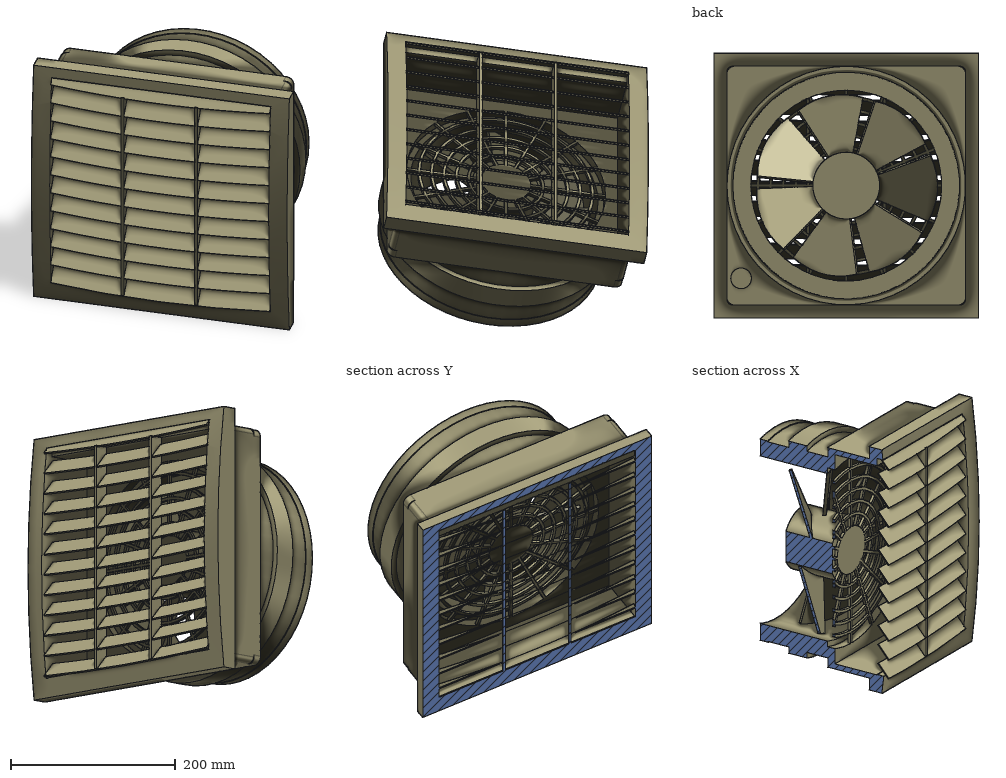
import cadquery as cq
import math


FRAME_EDGE_Y = 10.5
FRAME_BACK_Y = 29.5
GUARD_FRONT_Y = 79.2
GUARD_BACK_Y = 90.5
RING_FRONT_Y = 120.5
RING_BACK_Y = 147.5
LIP_FRONT_Y = 177.7
BACK_Y = 189.0

FRAME_SIZE = 322.0
OPENING_WIDTH = 275.5
OPENING_TOP = 147.5
OPENING_BOTTOM = -137.2
OPENING_DEPTH = 17.7

HOUSING_SIZE = 290.5
HOUSING_CORNER = 7.5
GUARD_PLATE_CORNER = 10.0

COLLAR_DIAMETER = 275.5
COLLAR_NECK_DIAMETER = 273.7
RING_DIAMETER = 289.8
BORE_DIAMETER = 232.0

LOUVRE_COUNT = 12
LOUVRE_PITCH = OPENING_WIDTH / (LOUVRE_COUNT - 1)
LOUVRE_TILT = 48.0
LOUVRE_LENGTH = 23.2
LOUVRE_THICKNESS = 2.0
LOUVRE_SAGITTA = 5.8
TOP_LOUVRE_Z = 135.2
BAR_WIDTH = 3.5
BAR_X = 46.5
BAR_HEIGHT = 275.5

GUARD_OPENING_DIAMETER = 246.0
GUARD_THICKNESS = 4.0
GUARD_DISC_RADIUS = 30.5
GUARD_RING_COUNT = 5
OUTER_GUARD_RING_RADIUS = 107.2
GUARD_RING_PITCH = (OUTER_GUARD_RING_RADIUS - GUARD_DISC_RADIUS) / GUARD_RING_COUNT
SPOKE_OVERLAP = 1.5
GUARD_BAR_WIDTH = 3.5
SPOKE_COUNT = 16

HUB_DIAMETER = 81.0
HUB_BACK_Y = 151.5
BLADE_COUNT = 7
BLADE_TIP_RADIUS = 111.0
BLADE_SWEEP = 49.0
BLADE_TILT = 30.0
BLADE_THICKNESS = 4.2
BLADE_MID_Y = 122.5
FIRST_BLADE_ANGLE = 11.3

STUD_DIAMETER = 25.0
STUD_HEIGHT = 4.8
STUD_X = 127.8
STUD_Z = -112.7


def facing_back(y):
    """Plane at depth y with its normal along +Y and its local axes along X and -Z."""
    return cq.Workplane(cq.Plane((0, y, 0), (1, 0, 0), (0, 1, 0)))


def square_block(size, front, back):
    return facing_back(front).rect(size, size).extrude(back - front)


def disc(diameter, front, back):
    return facing_back(front).circle(diameter / 2).extrude(back - front)


def make_frame():
    half = FRAME_SIZE / 2
    plate = (
        cq.Workplane("YZ", origin=(-half, 0, 0))
        .moveTo(FRAME_BACK_Y, -half)
        .lineTo(FRAME_EDGE_Y, -half)
        .threePointArc((0, 0), (FRAME_EDGE_Y, half))
        .lineTo(FRAME_BACK_Y, half)
        .close()
        .extrude(FRAME_SIZE)
    )
    return plate.cut(opening_block())


def opening_block():
    height = OPENING_TOP - OPENING_BOTTOM
    block = cq.Workplane("XY").box(OPENING_WIDTH, OPENING_DEPTH, height)
    return block.translate((0, OPENING_DEPTH / 2, OPENING_BOTTOM + height / 2))


def make_housing():
    housing = square_block(HOUSING_SIZE, FRAME_BACK_Y, GUARD_FRONT_Y)
    guard_plate = square_block(HOUSING_SIZE, GUARD_FRONT_Y, GUARD_BACK_Y)
    guard_plate = guard_plate.edges("|Y").fillet(GUARD_PLATE_CORNER)
    return housing.edges("|Y").fillet(HOUSING_CORNER).union(guard_plate)


def make_collar():
    collar = disc(COLLAR_DIAMETER, GUARD_BACK_Y, RING_FRONT_Y)
    collar = collar.union(disc(RING_DIAMETER, RING_FRONT_Y, RING_BACK_Y))
    collar = collar.union(disc(COLLAR_NECK_DIAMETER, RING_BACK_Y, LIP_FRONT_Y))
    return collar.union(disc(COLLAR_DIAMETER, LIP_FRONT_Y, BACK_Y))


def make_louvre(front_z):
    """Flat tilted slat, bowed within its own plane, with its lower front edge at front_z."""
    tilt = math.radians(LOUVRE_TILT)
    upper_normal = (0, -math.sin(tilt), math.cos(tilt))
    end = OPENING_WIDTH / 2
    slat_plane = cq.Plane((0, LOUVRE_THICKNESS * math.sin(tilt), front_z), (1, 0, 0), upper_normal)
    return (
        cq.Workplane(slat_plane)
        .moveTo(-end, LOUVRE_SAGITTA)
        .threePointArc((0, 0), (end, LOUVRE_SAGITTA))
        .lineTo(end, LOUVRE_LENGTH + LOUVRE_SAGITTA)
        .threePointArc((0, LOUVRE_LENGTH), (-end, LOUVRE_LENGTH + LOUVRE_SAGITTA))
        .close()
        .extrude(LOUVRE_THICKNESS)
    )


def make_bar(x):
    bar = cq.Workplane("XY").box(BAR_WIDTH, OPENING_DEPTH, BAR_HEIGHT)
    return bar.translate((x, OPENING_DEPTH / 2, 0))


def make_guard():
    back = GUARD_FRONT_Y + GUARD_THICKNESS
    guard = disc(2 * GUARD_DISC_RADIUS, GUARD_FRONT_Y, back)
    for i in range(1, GUARD_RING_COUNT + 1):
        middle = GUARD_DISC_RADIUS + i * GUARD_RING_PITCH
        ring = (
            facing_back(GUARD_FRONT_Y)
            .circle(middle + GUARD_BAR_WIDTH / 2)
            .circle(middle - GUARD_BAR_WIDTH / 2)
            .extrude(GUARD_THICKNESS)
        )
        guard = guard.union(ring)
    for i in range(SPOKE_COUNT // 2):
        length = GUARD_OPENING_DIAMETER + 2 * SPOKE_OVERLAP
        bar = facing_back(GUARD_FRONT_Y).rect(GUARD_BAR_WIDTH, length).extrude(GUARD_THICKNESS)
        guard = guard.union(bar.rotate((0, 0, 0), (0, 1, 0), i * 360 / SPOKE_COUNT))
    return guard


def make_blade():
    """Flat sector blade pointing to +Z, tilted about its own radial axis."""
    half_sweep = math.radians(BLADE_SWEEP / 2)
    tip_x = BLADE_TIP_RADIUS * math.sin(half_sweep)
    tip_z = BLADE_TIP_RADIUS * math.cos(half_sweep)
    flat_blade = (
        cq.Workplane("XZ", origin=(0, BLADE_THICKNESS / 2, 0))
        .lineTo(-tip_x, tip_z)
        .threePointArc((0, BLADE_TIP_RADIUS), (tip_x, tip_z))
        .close()
        .extrude(BLADE_THICKNESS)
    )
    return flat_blade.rotate((0, 0, 0), (0, 0, 1), BLADE_TILT).translate((0, BLADE_MID_Y, 0))


def make_fan():
    fan = disc(HUB_DIAMETER, GUARD_FRONT_Y + GUARD_THICKNESS, HUB_BACK_Y)
    blade = make_blade()
    for i in range(BLADE_COUNT):
        fan = fan.union(blade.rotate((0, 0, 0), (0, 1, 0), FIRST_BLADE_ANGLE + i * 360 / BLADE_COUNT))
    return fan


result = make_frame().union(make_housing()).union(make_collar())
result = result.cut(square_block(OPENING_WIDTH, OPENING_DEPTH, GUARD_FRONT_Y))
result = result.cut(disc(GUARD_OPENING_DIAMETER, GUARD_FRONT_Y, GUARD_BACK_Y))
result = result.cut(disc(BORE_DIAMETER, GUARD_BACK_Y, BACK_Y))

for i in range(LOUVRE_COUNT):
    result = result.union(make_louvre(TOP_LOUVRE_Z - i * LOUVRE_PITCH))
for x in (-BAR_X, BAR_X):
    result = result.union(make_bar(x))

stud = disc(STUD_DIAMETER, GUARD_BACK_Y, GUARD_BACK_Y + STUD_HEIGHT).translate((STUD_X, 0, STUD_Z))
result = result.union(stud).union(make_guard()).union(make_fan())